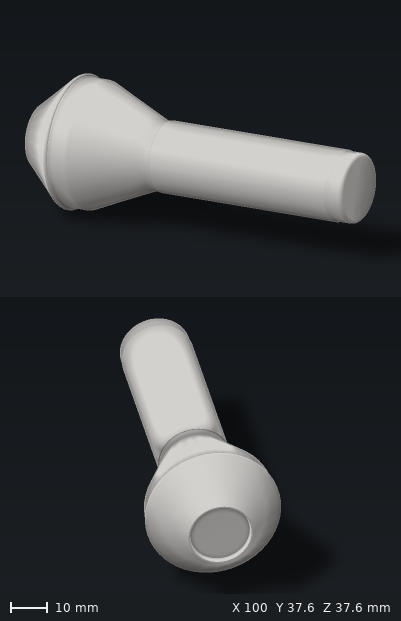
import cadquery as cq
import math

TOTAL_LENGTH = 100.0
NECK_RADIUS = 19.5 / 2

TIP_RADIUS = 8.9
LIP_RADIUS = 18.8
LIP_ROUND = 0.55
LIP_BACK_X = 12.4
BAND_RADIUS = 36.0 / 2
BAND_START_X = 13.0
BAND_END_X = 17.5
SHOULDER_ROUND = 2.3
NECK_START_X = 38.6
NECK_ROUND = 5.4
REAR_CONE_ANGLE = math.radians(22.9)
FRONT_CONE_ANGLE = math.radians(40.3)
JOINT_X = 39.5

RECESS_MOUTH_RADIUS = 8.5
RECESS_FLOOR_RADIUS = 8.2
RECESS_DEPTH = 1.5

BAR_START_X = 39.8
BAR_RADIUS = 20.0 / 2
BAR_END_X = 94.6
END_START_X = 95.8
END_ROUND = 1.1


def arc_point(center_x, center_radius, arc_radius, angle):
    """Point on an arc; the angle is measured from the radial direction towards +X."""
    return (center_x + arc_radius * math.sin(angle), center_radius + arc_radius * math.cos(angle))


def revolve_about_x(profile):
    return profile.close().revolve(360, (0, 0, 0), (1, 0, 0))


def make_recess():
    profile = (
        cq.Workplane("XZ")
        .lineTo(0, RECESS_MOUTH_RADIUS)
        .lineTo(RECESS_DEPTH, RECESS_FLOOR_RADIUS)
        .lineTo(RECESS_DEPTH, 0)
    )
    return revolve_about_x(profile)


def make_head():
    lip_center = (LIP_BACK_X - LIP_ROUND, LIP_RADIUS - LIP_ROUND)
    shoulder_center = (BAND_END_X, BAND_RADIUS - SHOULDER_ROUND)
    neck_center = (NECK_START_X, NECK_RADIUS + NECK_ROUND)
    cone_side = math.pi + REAR_CONE_ANGLE

    profile = (
        cq.Workplane("XZ")
        .moveTo(0, 0)
        .lineTo(0, TIP_RADIUS)
        .lineTo(*arc_point(*lip_center, LIP_ROUND, -FRONT_CONE_ANGLE))
        .threePointArc(
            arc_point(*lip_center, LIP_ROUND, 0),
            arc_point(*lip_center, LIP_ROUND, math.pi / 2),
        )
        .lineTo(BAND_START_X, BAND_RADIUS)
        .lineTo(BAND_END_X, BAND_RADIUS)
        .threePointArc(
            arc_point(*shoulder_center, SHOULDER_ROUND, REAR_CONE_ANGLE / 2),
            arc_point(*shoulder_center, SHOULDER_ROUND, REAR_CONE_ANGLE),
        )
        .lineTo(*arc_point(*neck_center, NECK_ROUND, cone_side))
        .threePointArc(
            arc_point(*neck_center, NECK_ROUND, math.pi + REAR_CONE_ANGLE / 2),
            (NECK_START_X, NECK_RADIUS),
        )
        .lineTo(JOINT_X, NECK_RADIUS)
        .lineTo(JOINT_X, 0)
    )
    return revolve_about_x(profile).cut(make_recess())


def make_handle():
    profile = (
        cq.Workplane("XZ")
        .moveTo(JOINT_X, 0)
        .lineTo(JOINT_X, NECK_RADIUS)
        .lineTo(BAR_START_X, NECK_RADIUS)
        .lineTo(BAR_START_X, BAR_RADIUS)
        .lineTo(BAR_END_X, BAR_RADIUS)
        .lineTo(END_START_X, NECK_RADIUS)
        .lineTo(TOTAL_LENGTH, NECK_RADIUS)
        .lineTo(TOTAL_LENGTH, 0)
    )
    return revolve_about_x(profile).faces(">X").edges().fillet(END_ROUND)


head = make_head()
handle = make_handle()

result = cq.Compound.makeCompound([head.val(), handle.val()])